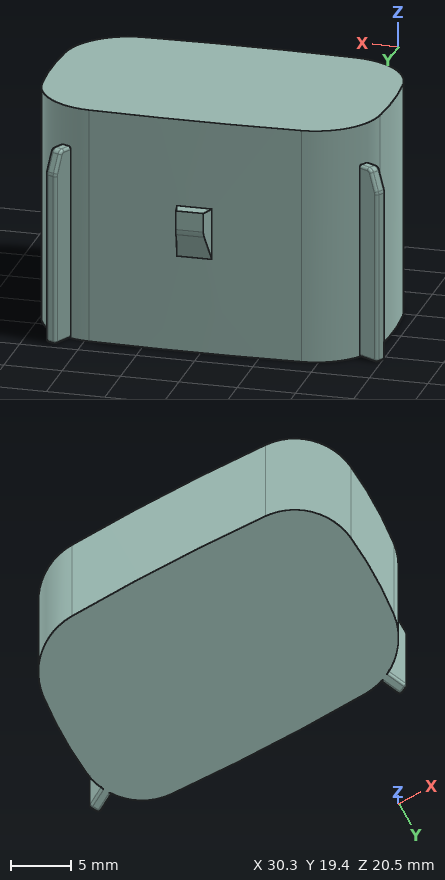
import cadquery as cq
import math

BODY_LENGTH = 29.31
BODY_DEPTH = 17.85
BODY_HEIGHT = 20.5
SIDE_BOW = 0.2
LONG_SIDE_CHORD = 18.2
SHORT_SIDE_CHORD = 7.44

FIN_THICKNESS = 1.05
FIN_HEIGHT = 17.0
FIN_REACH = 7.6
FIN_SLOPE_WIDTH = 0.75
FIN_SLOPE_HEIGHT = 2.0
FIN_EDGE_RADIUS = 0.25
FIN_TOP_CORNER_RADIUS = 0.5
FIN_SLOPE_FOOT_RADIUS = 0.8
LEFT_FIN_ANGLE = 150
RIGHT_FIN_ANGLE = 65

CATCH_PROJECTION = 1.54
CATCH_ROOT_WIDTH = 3.0
CATCH_TIP_WIDTH = 2.36
CATCH_TOP = 13.0
CATCH_TOP_DROP = 0.14
CATCH_TIP_BOTTOM = 11.1
CATCH_RAMP_BOTTOM = 8.4
CATCH_TIP_RADIUS = 1.0
CATCH_EMBED = 1.0

half_length = BODY_LENGTH / 2
half_depth = BODY_DEPTH / 2
long_end = (LONG_SIDE_CHORD / 2, half_depth - SIDE_BOW)
short_end = (half_length - SIDE_BOW, SHORT_SIDE_CHORD / 2)

long_side_tilt = 2 * math.atan(SIDE_BOW / long_end[0])
chord_x = short_end[0] - long_end[0]
chord_y = short_end[1] - long_end[1]
normal_x = -math.sin(long_side_tilt)
normal_y = -math.cos(long_side_tilt)
corner_radius = (chord_x**2 + chord_y**2) / (2 * (chord_x * normal_x + chord_y * normal_y))
corner_x = long_end[0] + corner_radius * normal_x
corner_y = long_end[1] + corner_radius * normal_y


def make_body():
    corner_mid_x = corner_x + corner_radius * math.cos(math.pi / 4)
    corner_mid_y = corner_y + corner_radius * math.sin(math.pi / 4)
    outline = (
        cq.Workplane("XY")
        .moveTo(-long_end[0], long_end[1])
        .threePointArc((0, half_depth), long_end)
        .threePointArc((corner_mid_x, corner_mid_y), short_end)
        .threePointArc((half_length, 0), (short_end[0], -short_end[1]))
        .threePointArc((corner_mid_x, -corner_mid_y), (long_end[0], -long_end[1]))
        .threePointArc((0, -half_depth), (-long_end[0], -long_end[1]))
        .threePointArc((-corner_mid_x, -corner_mid_y), (-short_end[0], -short_end[1]))
        .threePointArc((-half_length, 0), (-short_end[0], short_end[1]))
        .threePointArc((-corner_mid_x, corner_mid_y), (-long_end[0], long_end[1]))
        .close()
    )
    return outline.extrude(BODY_HEIGHT)


def make_fin(center_x, angle):
    root = FIN_REACH / 2
    fin = (
        cq.Workplane("XZ")
        .polyline([
            (root, 0),
            (FIN_REACH, 0),
            (FIN_REACH, FIN_HEIGHT - FIN_SLOPE_HEIGHT),
            (FIN_REACH - FIN_SLOPE_WIDTH, FIN_HEIGHT),
            (root, FIN_HEIGHT),
        ])
        .close()
        .extrude(FIN_THICKNESS / 2, both=True)
    )
    fin = fin.faces(">Z").edges(">X").fillet(FIN_TOP_CORNER_RADIUS)
    fin = fin.faces(">X").edges(">Z").fillet(FIN_SLOPE_FOOT_RADIUS)
    fin = fin.edges(">X and <Z").fillet(FIN_EDGE_RADIUS)
    fin = fin.faces("|Y").edges("not(<X)").fillet(FIN_EDGE_RADIUS)
    return fin.rotate((0, 0, 0), (0, 0, 1), angle).translate((center_x, corner_y, 0))


def make_catch():
    tip_y = half_depth + CATCH_PROJECTION
    root_y = half_depth - CATCH_EMBED
    drop_rate = CATCH_TOP_DROP / CATCH_PROJECTION
    ramp_rate = (CATCH_TIP_BOTTOM - CATCH_RAMP_BOTTOM) / CATCH_PROJECTION
    side_profile = (
        cq.Workplane("YZ")
        .polyline([
            (tip_y, CATCH_TOP),
            (tip_y, CATCH_TIP_BOTTOM),
            (root_y, CATCH_RAMP_BOTTOM - ramp_rate * CATCH_EMBED),
            (root_y, CATCH_TOP - drop_rate * (CATCH_PROJECTION + CATCH_EMBED)),
        ])
        .close()
        .extrude(CATCH_ROOT_WIDTH, both=True)
    )
    side_profile = side_profile.faces(">Y").edges("<Z").fillet(CATCH_TIP_RADIUS)
    flare = (CATCH_ROOT_WIDTH - CATCH_TIP_WIDTH) / 2 / CATCH_PROJECTION
    half_root = CATCH_ROOT_WIDTH / 2 + flare * CATCH_EMBED
    half_tip = CATCH_TIP_WIDTH / 2
    plan = (
        cq.Workplane("XY")
        .polyline([(-half_root, root_y), (half_root, root_y), (half_tip, tip_y), (-half_tip, tip_y)])
        .close()
        .extrude(BODY_HEIGHT)
    )
    return side_profile.intersect(plan)


result = (
    make_body()
    .union(make_fin(-corner_x, LEFT_FIN_ANGLE))
    .union(make_fin(corner_x, RIGHT_FIN_ANGLE))
    .union(make_catch())
)